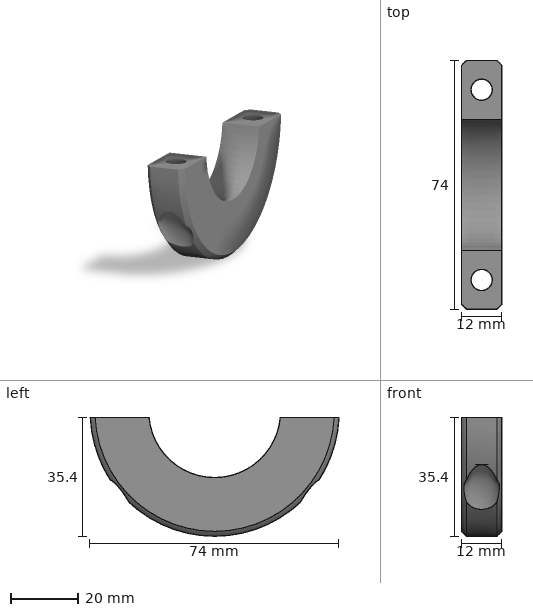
import cadquery as cq

width = 12.0
length = 73.95
height = 35.35
inner_radius = 19.5
chamfer = 1.5
screw_spacing = 56.5
screw_hole_diameter = 6.2
counterbore_diameter = 10.5
seat_depth = 14.0

outer_radius = ((length / 2) ** 2 + height**2) / (2 * height)
split_z = height - outer_radius


def make_half_ring():
    """Chamfered ring cut off at the split face."""
    ring = cq.Workplane("YZ").circle(outer_radius).extrude(width / 2, both=True)
    ring = ring.edges().chamfer(chamfer)
    bore = cq.Workplane("YZ").circle(inner_radius).extrude(width / 2, both=True)
    lower_half = (
        cq.Workplane("XY")
        .workplane(offset=split_z)
        .rect(width, 2 * outer_radius)
        .extrude(-2 * outer_radius)
    )
    return ring.cut(bore).intersect(lower_half)


def make_vertical_cutters(diameter, top_z):
    """Pair of cylinders on the screw axes, reaching down from top_z past the ring."""
    return (
        cq.Workplane("XY")
        .workplane(offset=top_z)
        .pushPoints([(0, -screw_spacing / 2), (0, screw_spacing / 2)])
        .circle(diameter / 2)
        .extrude(-2 * outer_radius)
    )


screw_holes = make_vertical_cutters(screw_hole_diameter, split_z)
counterbores = make_vertical_cutters(counterbore_diameter, split_z - seat_depth)
result = make_half_ring().cut(screw_holes).cut(counterbores)